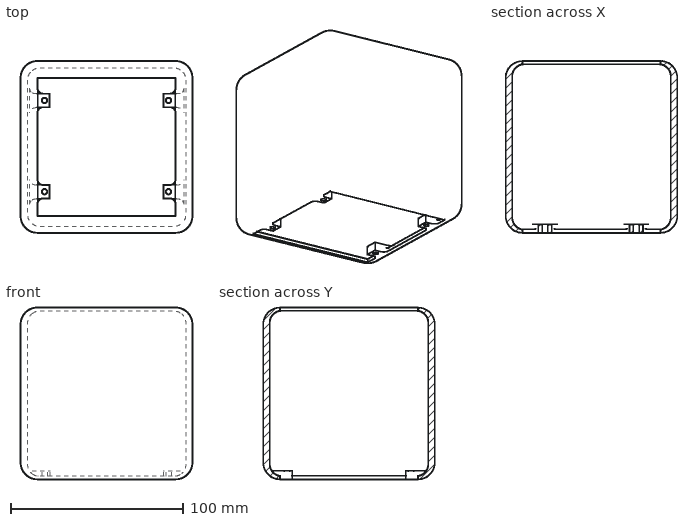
import cadquery as cq
import math

side = 100.0
edge_radius = 10.0
side_wall = 4.0
end_wall = 2.0
cavity_radius = 7.0
opening = side - 2 * edge_radius

tab_reach = 7.0
tab_width = 8.0
tab_thickness = 5.0
tab_pitch = 53.0
tab_shift_y = 0.5
hole_diameter = 3.0
hole_to_tip = 3.0
root_fillet = 3.0

base_z = -side / 2
rim_x = -opening / 2
tab_tip_x = rim_x + tab_reach
wall_x = -side / 2 + side_wall
cavity_axis_x = wall_x + cavity_radius
cavity_axis_z = base_z + end_wall + cavity_radius
rim_turn = math.acos((cavity_axis_x - rim_x) / cavity_radius)
rim_z = cavity_axis_z - cavity_radius * math.sin(rim_turn)


def rounded_box(width, height, radius):
    return cq.Workplane("XY").box(width, width, height).edges().fillet(radius)


def fillet_profile(root_x, z):
    """Concave corner between a face at root_x and the +Y side of a tab centred on y = 0."""
    tab_y = tab_width / 2
    sag = root_fillet * (1 - math.sqrt(0.5))
    return (
        cq.Workplane("XY", origin=(root_x, tab_y, z))
        .lineTo(root_fillet, 0)
        .threePointArc((sag, sag), (0, root_fillet))
        .close()
    )


def tab_fillet():
    """Fillet running up the rim, around its sharp edge and along the curved floor."""
    turn = math.degrees(rim_turn)
    up_rim = fillet_profile(rim_x, base_z).extrude(rim_z - base_z)
    around_edge = fillet_profile(rim_x, rim_z).revolve(turn, (0, 1, 0), (0, 0, 0))
    along_floor = fillet_profile(wall_x, cavity_axis_z).revolve(
        turn, (cavity_radius, 1, 0), (cavity_radius, 0, 0)
    )
    return up_rim.union(around_edge).union(along_floor)


def tab_slab(width):
    """Flat block from the side wall to the tab tip, standing on the base plane."""
    length = tab_tip_x - wall_x
    center = (wall_x + length / 2, 0, base_z)
    return cq.Workplane("XY", origin=center).rect(length, width).extrude(tab_thickness)


def screw_tab(envelope):
    """Drilled tab with filleted sides on the -X rim, centred on y = 0 and kept inside the envelope."""
    fillet = tab_fillet()
    tab = tab_slab(tab_width).union(fillet).union(fillet.mirror("XZ"))
    tab = tab.intersect(tab_slab(tab_width + 2 * root_fillet))
    hole_center = (tab_tip_x - hole_to_tip, 0, base_z)
    hole = cq.Workplane("XY", origin=hole_center).circle(hole_diameter / 2).extrude(tab_thickness)
    return tab.intersect(envelope).cut(hole)


outer = rounded_box(side, side, edge_radius)
cavity = rounded_box(side - 2 * side_wall, side - 2 * end_wall, cavity_radius)
end_opening = cq.Workplane("XY").box(opening, opening, side)
result = outer.cut(cavity).cut(end_opening)

left_tab = screw_tab(outer)
for tab in (left_tab, left_tab.mirror("YZ")):
    for y_side in (-1, 1):
        center_y = tab_shift_y + y_side * tab_pitch / 2
        result = result.union(tab.translate((0, center_y, 0)))